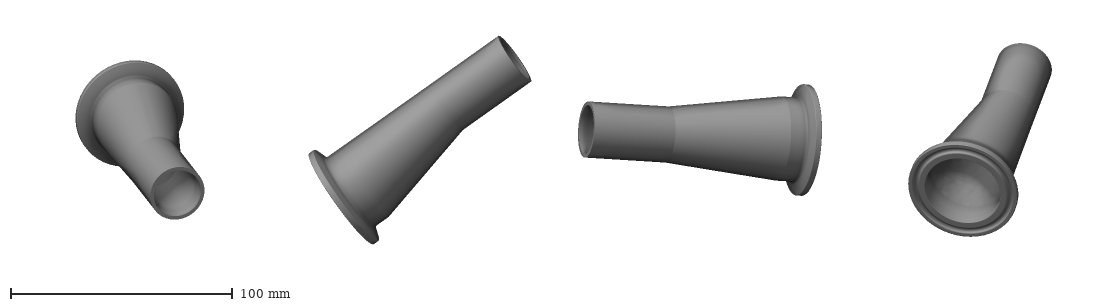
import cadquery as cq
import math

total_length = 101.6
taper_start = 12.7
taper_end = 63.5

large_tube_radius = 38.1 / 2
large_bore_radius = 34.8 / 2
small_tube_radius = 25.4 / 2
small_bore_radius = 22.1 / 2
small_axis_y = small_tube_radius - large_tube_radius

flange_radius = 50.39 / 2
rim_width = 2.8
back_angle = math.radians(20)
rim_edge_radius = 0.3
neck_fillet_radius = 1.5

bore_lip_radius = 0.25

groove_mid_radius = 21.85
groove_arc_half_width = 1.2
groove_lip_width = 0.55
groove_depth = 1.4


def disc_wire(x, y, radius):
    """Circle facing +X, centred at (x, y, 0)."""
    return cq.Wire.makeCircle(radius, cq.Vector(x, y, 0), cq.Vector(1, 0, 0))


def rod(x_start, x_end, y, radius):
    """Cylinder along X."""
    return cq.Workplane("YZ", origin=(x_start, y, 0)).circle(radius).extrude(x_end - x_start)


def eccentric_stack(large_radius, small_radius):
    """Large cylinder, offset taper and small cylinder joined end to end."""
    large_circle = disc_wire(taper_start, 0, large_radius)
    small_circle = disc_wire(taper_end, small_axis_y, small_radius)
    taper = cq.Workplane(cq.Solid.makeLoft([large_circle, small_circle], True))
    large_rod = rod(0, taper_start, 0, large_radius)
    small_rod = rod(taper_end, total_length, small_axis_y, small_radius)
    return large_rod.union(taper).union(small_rod)


def clamp_flange():
    """Rim with a sloped back that blends into the large tube."""
    slope_height = flange_radius - large_tube_radius
    neck_x = rim_width + slope_height * math.tan(back_angle)

    half_turn = (math.pi / 2 - back_angle) / 2
    neck_tangent = neck_fillet_radius * math.tan(half_turn)
    rim_tangent = rim_edge_radius * math.tan(half_turn)
    slope_x = math.sin(back_angle)
    slope_r = math.cos(back_angle)

    neck_arc_end = (neck_x + neck_tangent, large_tube_radius)
    neck_arc_start = (neck_x - neck_tangent * slope_x, large_tube_radius + neck_tangent * slope_r)
    rim_arc_end = (rim_width + rim_tangent * slope_x, flange_radius - rim_tangent * slope_r)
    rim_arc_start = (rim_width - rim_tangent, flange_radius)

    profile = (
        cq.Workplane("XY")
        .moveTo(0, 0)
        .lineTo(0, flange_radius - rim_edge_radius)
        .radiusArc((rim_edge_radius, flange_radius), rim_edge_radius)
        .lineTo(*rim_arc_start)
        .radiusArc(rim_arc_end, rim_edge_radius)
        .lineTo(*neck_arc_start)
        .radiusArc(neck_arc_end, -neck_fillet_radius)
        .lineTo(neck_arc_end[0], 0)
        .close()
    )
    return profile.revolve(360, (0, 0, 0), (1, 0, 0))


def gasket_groove():
    """Round-bottomed ring whose lips roll over into the clamp face."""
    half_width = groove_arc_half_width + groove_lip_width
    lip_depth = groove_depth * groove_lip_width / half_width
    wall_angle = 2 * math.atan(groove_depth / half_width)
    lip_radius = groove_lip_width / math.sin(wall_angle)

    profile = (
        cq.Workplane("XY")
        .moveTo(0, groove_mid_radius - half_width)
        .radiusArc((lip_depth, groove_mid_radius - groove_arc_half_width), lip_radius)
        .threePointArc(
            (groove_depth, groove_mid_radius),
            (lip_depth, groove_mid_radius + groove_arc_half_width),
        )
        .radiusArc((0, groove_mid_radius + half_width), lip_radius)
        .close()
    )
    return profile.revolve(360, (0, 0, 0), (1, 0, 0))


def bore_lip():
    """Ring of material removed to round the entry edge of the large bore."""
    lip_outer_radius = large_bore_radius + bore_lip_radius
    profile = (
        cq.Workplane("XY")
        .moveTo(0, large_bore_radius)
        .lineTo(0, lip_outer_radius)
        .radiusArc((bore_lip_radius, large_bore_radius), -bore_lip_radius)
        .close()
    )
    return profile.revolve(360, (0, 0, 0), (1, 0, 0))


outer_body = eccentric_stack(large_tube_radius, small_tube_radius).union(clamp_flange())
bore = eccentric_stack(large_bore_radius, small_bore_radius)
result = outer_body.cut(bore).cut(bore_lip()).cut(gasket_groove())